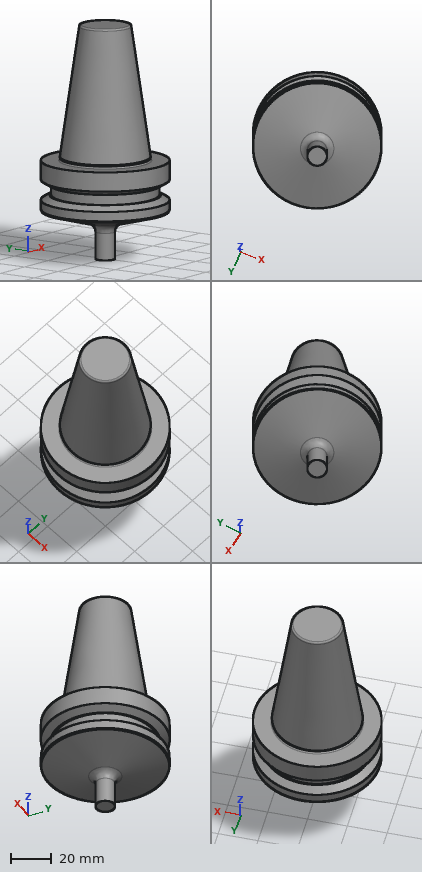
import cadquery as cq
import math


gauge_diameter = 44.45
taper_length = 65.4
taper_ratio = 7 / 24
tip_fillet = 1.0

neck_diameter = 44.0
taper_end_z = -0.2
neck_bevel = 0.7
neck_fillet = 0.7

flange_diameter = 62.98
flange_top_z = -2.0
rim_bottom_z = -26.3
rim_bevel_depth = 0.25
rim_bevel_height = 0.7

groove_floor_diameter = 53.0
groove_center_z = -16.6
groove_mouth_width = 10.1
groove_floor_width = 5.1
groove_wall_angle = 30.0

cone_angle = 15.0
pin_diameter = 9.6
pin_end_z = -51.0
pin_fillet = 4.5

gauge_radius = gauge_diameter / 2
neck_radius = neck_diameter / 2
flange_radius = flange_diameter / 2
groove_floor_radius = groove_floor_diameter / 2
pin_radius = pin_diameter / 2


def revolve_profile(points):
    """Revolve a closed outline of (radius, z) points about the Z axis."""
    axis_start = (0, 0)
    axis_end = (0, 1)
    return cq.Workplane("XZ").polyline(points).close().revolve(360, axis_start, axis_end)


def fillet_edge(body, radius, z, fillet_radius):
    """Round the circular edge that has the given radius and height."""
    margin = 0.05
    reach = radius + margin
    low_corner = (-reach, -reach, z - margin)
    high_corner = (reach, reach, z + margin)
    selector = cq.selectors.BoxSelector(low_corner, high_corner, boundingbox=True)
    return body.edges(selector).fillet(fillet_radius)


def taper_radius(z):
    """Radius of the taper at the given height."""
    return gauge_radius - z * taper_ratio / 2


def make_body():
    """Taper, neck, flange, lower cone and pin with their rounded corners."""
    tip_radius = taper_radius(taper_length)
    cone_top_radius = flange_radius - rim_bevel_depth
    cone_top_z = rim_bottom_z - rim_bevel_height
    cone_height = (cone_top_radius - pin_radius) * math.tan(math.radians(cone_angle))
    cone_end_z = cone_top_z - cone_height
    body = revolve_profile(
        [
            (0, taper_length),
            (tip_radius, taper_length),
            (taper_radius(taper_end_z), taper_end_z),
            (neck_radius, taper_end_z - neck_bevel),
            (neck_radius, flange_top_z),
            (flange_radius, flange_top_z),
            (flange_radius, rim_bottom_z),
            (cone_top_radius, cone_top_z),
            (pin_radius, cone_end_z),
            (pin_radius, pin_end_z),
            (0, pin_end_z),
        ]
    )
    body = fillet_edge(body, tip_radius, taper_length, tip_fillet)
    body = fillet_edge(body, neck_radius, flange_top_z, neck_fillet)
    return fillet_edge(body, pin_radius, cone_end_z, pin_fillet)


def make_groove():
    """Ring that cuts the V groove into the flange rim."""
    half_mouth = groove_mouth_width / 2
    half_floor = groove_floor_width / 2
    wall_depth = (half_mouth - half_floor) / math.tan(math.radians(groove_wall_angle))
    shelf_radius = flange_radius - wall_depth
    floor_top_z = groove_center_z + half_floor
    floor_bottom_z = groove_center_z - half_floor
    return revolve_profile(
        [
            (flange_radius, groove_center_z + half_mouth),
            (shelf_radius, floor_top_z),
            (groove_floor_radius, floor_top_z),
            (groove_floor_radius, floor_bottom_z),
            (shelf_radius, floor_bottom_z),
            (flange_radius, groove_center_z - half_mouth),
        ]
    )


result = make_body().cut(make_groove())